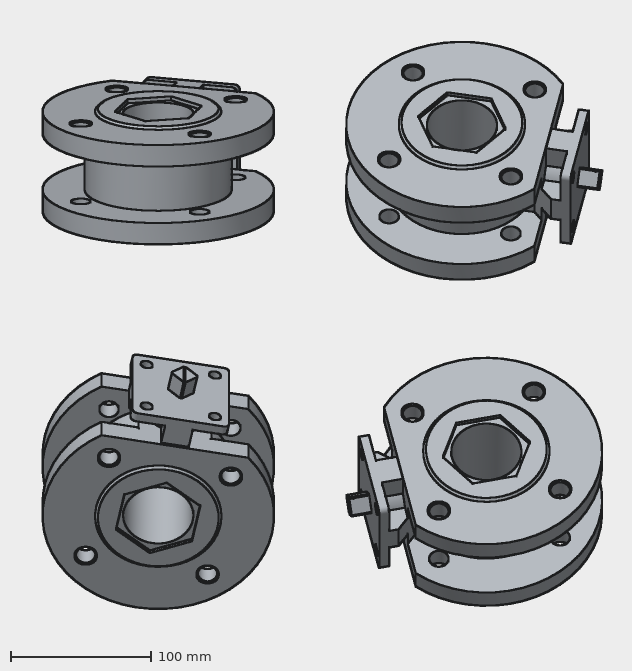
import cadquery as cq
import math


flange_diameter = 165.0
flange_thickness = 16.0
flange_face_z = 37.0
flange_flat_y = 63.0
body_diameter = 105.0
bore_diameter = 50.0

seal_diameter = 90.0
seal_height = 2.0
hex_across_flats = 55.0
hex_depth = 3.0
face_z = flange_face_z + seal_height

bolt_circle = 125.0
bolt_hole_count = 4
bolt_hole_diameter = 13.84
bolt_countersink_diameter = 16.0

plate_size = 70.0
plate_top_y = 85.5
plate_thickness = 7.2
plate_corner_radius = 4.0
plate_bottom_y = plate_top_y - plate_thickness
plate_hole_diameter = 8.5
plate_hole_circle = 70.0
pad_taper_top_y = 71.5
neck_width = 40.0
neck_height = 2 * (flange_face_z - flange_thickness)
rib_width = 20.0
hub_diameter = 40.0

stem_end_y = 100.0
stem_square = 14.0
stem_across_corner_flats = 18.4
stem_slot_width = 1.5
stem_slot_depth = 3.0

corner_signs = [(1, 1), (1, -1), (-1, 1), (-1, -1)]


def plane_at_y(y):
    """Plane facing +Y at height y; its local axes are global Z and X."""
    return cq.Plane(origin=(0, y, 0), xDir=(0, 0, 1), normal=(0, 1, 0))


def make_flanges():
    """Two round flanges, cut flat on the actuator side."""
    disc = cq.Workplane("XY").circle(flange_diameter / 2).extrude(flange_thickness)
    flat_length = flange_flat_y + flange_diameter / 2
    keep = cq.Workplane("XY").box(
        flange_diameter, flat_length, flange_thickness, centered=(True, False, False)
    )
    disc = disc.intersect(keep.translate((0, -flange_diameter / 2, 0)))
    upper = disc.translate((0, 0, flange_face_z - flange_thickness))
    lower = disc.translate((0, 0, -flange_face_z))
    return upper.union(lower)


def make_body():
    """Central barrel ending in a chamfered raised face on each side."""
    barrel = cq.Workplane("XY").circle(body_diameter / 2).extrude(flange_face_z, both=True)
    seal = cq.Workplane("XY").circle(seal_diameter / 2).extrude(face_z, both=True)
    seal = seal.faces("<Z or >Z").chamfer(seal_height)
    return barrel.union(seal)


def make_neck():
    """Neck between the flanges, widening at 45 degrees to the plate width."""
    taper = (plate_size - neck_width) / 2
    taper_bottom_y = pad_taper_top_y - taper
    outline = (
        cq.Workplane("XY")
        .moveTo(-neck_width / 2, 0)
        .lineTo(-neck_width / 2, taper_bottom_y)
        .lineTo(-plate_size / 2, pad_taper_top_y)
        .lineTo(-plate_size / 2, plate_bottom_y)
        .lineTo(plate_size / 2, plate_bottom_y)
        .lineTo(plate_size / 2, pad_taper_top_y)
        .lineTo(neck_width / 2, taper_bottom_y)
        .lineTo(neck_width / 2, 0)
        .close()
    )
    block = outline.extrude(plate_size / 2, both=True)
    below_pad = cq.Workplane("XY").box(plate_size, flange_flat_y, neck_height, centered=(True, False, True))
    return block.intersect(below_pad.union(make_pad()))


def make_pad():
    """Cross of two ribs around a round hub, from the flange flats to the plate."""
    pad_height = plate_bottom_y - flange_flat_y
    base = cq.Workplane(plane_at_y(flange_flat_y))
    hub = base.circle(hub_diameter / 2).extrude(pad_height)
    rib_along_z = base.rect(plate_size, rib_width).extrude(pad_height)
    rib_along_x = base.rect(rib_width, plate_size).extrude(pad_height)
    return hub.union(rib_along_z).union(rib_along_x)


def make_plate():
    """Square mounting plate with four through holes."""
    hole_offset = plate_hole_circle / 2 * math.sqrt(0.5)
    plate = cq.Workplane(plane_at_y(plate_bottom_y)).rect(plate_size, plate_size).extrude(plate_thickness)
    plate = plate.edges("|Y").fillet(plate_corner_radius)
    holes = (
        cq.Workplane(plane_at_y(plate_bottom_y))
        .pushPoints([(hole_offset * z, hole_offset * x) for z, x in corner_signs])
        .circle(plate_hole_diameter / 2)
        .extrude(plate_thickness)
    )
    return plate.cut(holes)


def make_stem():
    """Square stem on its corner, corners cut flat, with a position slot."""
    length = stem_end_y - plate_top_y
    stem = cq.Workplane(plane_at_y(plate_top_y)).transformed(rotate=(0, 0, 45)).rect(stem_square, stem_square)
    stem = stem.extrude(length)
    envelope = cq.Workplane(plane_at_y(plate_top_y)).rect(stem_across_corner_flats, stem_across_corner_flats)
    envelope = envelope.extrude(length)
    slot_bottom = plane_at_y(stem_end_y - stem_slot_depth)
    slot = cq.Workplane(slot_bottom).rect(stem_across_corner_flats, stem_slot_width).extrude(stem_slot_depth)
    return stem.intersect(envelope).cut(slot)


def make_bolt_holes():
    """Through holes in both flanges, countersunk at the outer flange faces."""
    hole_radius = bolt_hole_diameter / 2
    countersink_radius = bolt_countersink_diameter / 2
    countersink_depth = countersink_radius - hole_radius
    profile = (
        cq.Workplane("XZ")
        .moveTo(0, -flange_face_z)
        .lineTo(countersink_radius, -flange_face_z)
        .lineTo(hole_radius, -flange_face_z + countersink_depth)
        .lineTo(hole_radius, flange_face_z - countersink_depth)
        .lineTo(countersink_radius, flange_face_z)
        .lineTo(0, flange_face_z)
        .close()
    )
    cutter = profile.revolve(360, (0, 0, 0), (0, 1, 0))
    cutters = cq.Workplane("XY")
    for index in range(bolt_hole_count):
        angle = math.radians((index + 0.5) * 360 / bolt_hole_count)
        place = (bolt_circle / 2 * math.cos(angle), bolt_circle / 2 * math.sin(angle), 0)
        cutters = cutters.add(cutter.translate(place))
    return cutters.combine()


def make_flow_passage():
    """Round bore with a hexagonal recess at each end."""
    hex_across_corners = hex_across_flats / math.cos(math.pi / 6)
    passage = cq.Workplane("XY").circle(bore_diameter / 2).extrude(face_z, both=True)
    recess = cq.Workplane("XY").polygon(6, hex_across_corners).extrude(hex_depth)
    recess = recess.rotate((0, 0, 0), (0, 0, 1), 30)
    for bottom_z in (face_z - hex_depth, -face_z):
        passage = passage.union(recess.translate((0, 0, bottom_z)))
    return passage


body = make_flanges().union(make_body()).union(make_neck())
body = body.union(make_plate()).union(make_stem())
result = body.cut(make_bolt_holes()).cut(make_flow_passage())